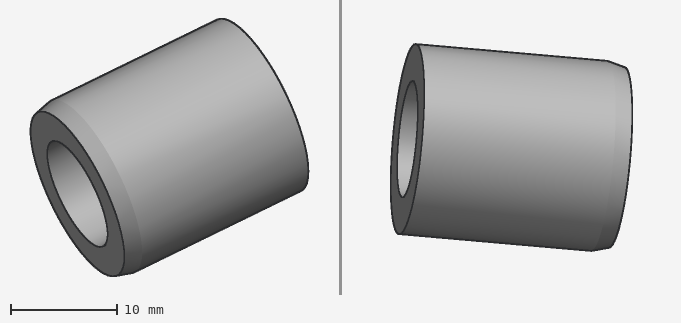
import cadquery as cq
import math

length = 20.0
outer_radius = 9.0
bore_radius = 5.5
taper_length = 1.68
taper_angle = 15.0

tip_radius = outer_radius - taper_length * math.tan(math.radians(taper_angle))
front_y = -length / 2
back_y = length / 2

wall_section = (
    cq.Workplane("XY")
    .moveTo(bore_radius, front_y)
    .lineTo(tip_radius, front_y)
    .lineTo(outer_radius, front_y + taper_length)
    .lineTo(outer_radius, back_y)
    .lineTo(bore_radius, back_y)
    .close()
)
result = wall_section.revolve(360, (0, 0, 0), (0, 1, 0))